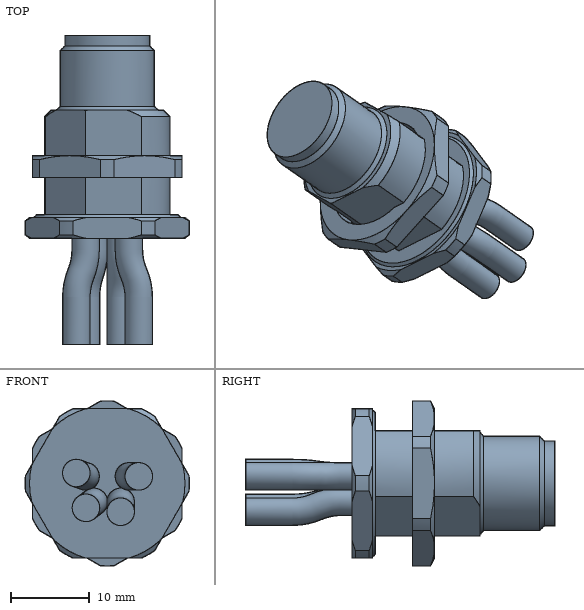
import cadquery as cq
import math


coupling_dia = 12.0
nose_dia = 10.8
nose_length = 1.35
nose_chamfer = (coupling_dia - nose_dia) / 2
shell_end_y = 25.8
collar_dia = 13.0
collar_length = 0.45
body_dia = 16.0
body_end_y = 16.3
body_chamfer = 0.85
body_across_flats = 13.4
body_flat_angles = (90, 135, 270, 315)

hex_across_flats = 19.0
nut_corner_dia = 21.0
flange_corner_dia = 20.9

nut_back_y = 7.7
nut_thickness = 2.8
nut_bevel_depth = 0.5
nut_bevel_dia = hex_across_flats
nut_bore_dia = 14.55

flange_hex_thickness = 2.65
flange_bevel_depth = 0.45
flange_bevel_dia = 19.75
seat_height = 0.35
seat_dia = 18.0
seat_base_dia = seat_dia + 2 * seat_height

wire_dia = 3.5
wire_root_length = 1.5
wire_bend_length = 6.0
wire_end_length = 6.0
wire_bend_offset = 1.25
wire_circle_radius = 2.9
wire_angles = ((162, 160), (18, 0), (234, 217), (306, 270))


def turned(profile):
    """Solid of revolution about Y from (radius, y) points; the axis closes the profile."""
    points = [(0, profile[0][1])] + list(profile) + [(0, profile[-1][1])]
    return cq.Workplane("XY").polyline(points).close().revolve(360, (0, 0), (0, 1))


def hexagon(back_y, thickness, corner_angle):
    """Hexagonal prism along Y with one corner at the given angle from X towards Z."""
    across_corners = hex_across_flats / math.cos(math.radians(30))
    prism = cq.Workplane("XZ").polygon(6, across_corners).extrude(-thickness)
    return prism.rotate((0, 0, 0), (0, 1, 0), -corner_angle).translate((0, back_y, 0))


def make_body():
    body_radius = body_dia / 2
    body = turned(
        [
            (body_radius, 0),
            (body_radius, body_end_y - body_chamfer),
            (body_radius - body_chamfer, body_end_y),
        ]
    )
    flat_distance = body_across_flats / 2
    for angle in body_flat_angles:
        cutter = cq.Workplane("XY").box(body_dia, 2 * body_end_y, body_dia)
        cutter = cutter.translate((flat_distance + body_radius, body_end_y / 2, 0))
        body = body.cut(cutter.rotate((0, 0, 0), (0, 1, 0), -angle))
    return body


def make_coupling():
    nose_start_y = shell_end_y - nose_length
    return turned(
        [
            (collar_dia / 2, body_end_y),
            (coupling_dia / 2, body_end_y + collar_length),
            (coupling_dia / 2, nose_start_y - nose_chamfer),
            (nose_dia / 2, nose_start_y),
            (nose_dia / 2, shell_end_y),
        ]
    )


def make_nut():
    front_y = nut_back_y + nut_thickness
    envelope = turned(
        [
            (nut_corner_dia / 2, nut_back_y),
            (nut_corner_dia / 2, front_y - nut_bevel_depth),
            (nut_bevel_dia / 2, front_y),
        ]
    )
    bore = turned([(nut_bore_dia / 2, nut_back_y), (nut_bore_dia / 2, front_y)])
    return hexagon(nut_back_y, nut_thickness, 90).intersect(envelope).cut(bore)


def make_flange():
    envelope = turned(
        [
            (flange_bevel_dia / 2, 0),
            (flange_corner_dia / 2, flange_bevel_depth),
            (flange_corner_dia / 2, flange_hex_thickness - flange_bevel_depth),
            (flange_bevel_dia / 2, flange_hex_thickness),
        ]
    )
    seat = turned(
        [
            (seat_base_dia / 2, flange_hex_thickness),
            (seat_dia / 2, flange_hex_thickness + seat_height),
        ]
    )
    return hexagon(0, flange_hex_thickness, 0).intersect(envelope).union(seat)


def make_wire(root_angle, offset_angle):
    root_x = wire_circle_radius * math.cos(math.radians(root_angle))
    root_z = wire_circle_radius * math.sin(math.radians(root_angle))
    offset_x = wire_bend_offset * math.cos(math.radians(offset_angle))
    offset_z = wire_bend_offset * math.sin(math.radians(offset_angle))

    def path_point(length, offset_share):
        return cq.Vector(root_x + offset_share * offset_x, -length, root_z + offset_share * offset_z)

    bend_start = path_point(wire_root_length, 0)
    bend_middle = path_point(wire_root_length + wire_bend_length / 2, 0.5)
    bend_end_length = wire_root_length + wire_bend_length
    bend_end = path_point(bend_end_length, 1)
    tip = path_point(bend_end_length + wire_end_length, 1)

    outward = cq.Vector(0, -1, 0)
    first_arc = cq.Edge.makeTangentArc(bend_start, outward, bend_middle)
    second_arc = cq.Edge.makeTangentArc(bend_middle, first_arc.tangentAt(1), bend_end)
    path = cq.Wire.assembleEdges(
        [
            cq.Edge.makeLine(path_point(0, 0), bend_start),
            first_arc,
            second_arc,
            cq.Edge.makeLine(bend_end, tip),
        ]
    )
    section = cq.Workplane("XZ", origin=(root_x, 0, root_z)).circle(wire_dia / 2)
    return section.sweep(cq.Workplane(path))


result = make_body().union(make_coupling()).union(make_nut()).union(make_flange())
for root_angle, offset_angle in wire_angles:
    result = result.union(make_wire(root_angle, offset_angle))